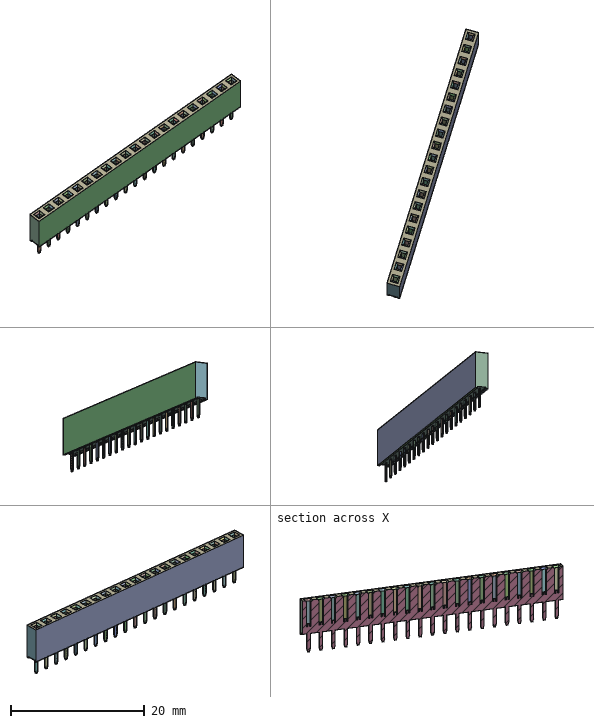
import cadquery as cq

contact_count = 21
strip_length = 42.0
pitch = strip_length / contact_count
body_width = pitch
total_height = 8.3
body_height = 5.63

rail_width = 0.35
rail_height = 0.2

mouth_size = 1.18
well_size = 0.65
lead_in_depth = 0.25
socket_depth = 4.2

pin_width = 0.6
pin_thickness = 0.15
tip_width = 0.3
tip_length = 0.45
stub_width = 0.35
stub_height = 0.4

pin_length = total_height - body_height
well_floor = body_height - socket_depth

contact_points = [(0, (i - (contact_count - 1) / 2) * pitch) for i in range(contact_count)]


def make_body():
    """Rectangular housing with a channel between the two standoff rails."""
    body = cq.Workplane("XY").box(body_width, strip_length, body_height, centered=(True, True, False))
    channel_width = body_width - 2 * rail_width
    channel = cq.Workplane("XY").box(channel_width, strip_length, rail_height, centered=(True, True, False))
    return body.cut(channel)


def make_socket():
    """Solid filling one socket, centred on the Z axis."""
    well = (
        cq.Workplane("XY")
        .workplane(offset=well_floor)
        .rect(well_size, well_size)
        .extrude(socket_depth)
    )
    lead_in = (
        cq.Workplane("XY")
        .workplane(offset=body_height - lead_in_depth)
        .rect(well_size, well_size)
        .workplane(offset=lead_in_depth)
        .rect(mouth_size, mouth_size)
        .loft(ruled=True)
    )
    return well.union(lead_in)


def make_pin():
    """Flat pin centred on the Z axis, with a narrower stub standing on the well floor."""
    blade = (
        cq.Workplane("YZ")
        .moveTo(-pin_width / 2, well_floor)
        .lineTo(-pin_width / 2, tip_length - pin_length)
        .lineTo(-tip_width / 2, -pin_length)
        .lineTo(tip_width / 2, -pin_length)
        .lineTo(pin_width / 2, tip_length - pin_length)
        .lineTo(pin_width / 2, well_floor)
        .close()
        .extrude(pin_thickness / 2, both=True)
    )
    stub = (
        cq.Workplane("XY")
        .workplane(offset=well_floor)
        .rect(pin_thickness, stub_width)
        .extrude(stub_height)
    )
    return blade.union(stub)


def at_contacts(shape):
    """Copies of a shape at every contact position, gathered in one workplane."""
    solid = shape.val()
    copies = [solid.translate(cq.Vector(x, y, 0)) for x, y in contact_points]
    return cq.Workplane(cq.Compound.makeCompound(copies))


result = make_body().cut(at_contacts(make_socket()))
result = result.union(at_contacts(make_pin()))